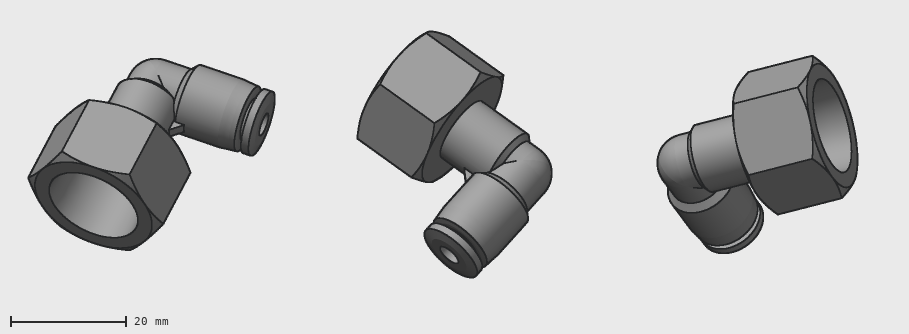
import cadquery as cq
import math

hex_flats = 22.0
hex_length = 14.0
hex_radius = hex_flats / math.sqrt(3)
chamfer_angle = math.radians(30)

socket_mouth_radius = 8.35
socket_depth = 12.5
socket_taper = 1 / 16
socket_floor_radius = socket_mouth_radius - socket_depth * socket_taper / 2
passage_radius = 2.02

branch_radius = 6.25
overall_length = 33.75
branch_y = overall_length - branch_radius
neck_radius = 5.03
stem_radius = 6.0
stem_chamfer = stem_radius - neck_radius
stem_top = 25.08

overall_width = 33.0
branch_end = overall_width - hex_radius
shoulder_start = 5.05
shoulder_end = shoulder_start + branch_radius - neck_radius
taper_start = 14.3
rim_start = 16.25
rim_end = 17.25
lip_end = 17.45
rim_start_radius = 6.05
rim_end_radius = 5.95
lip_radius = 4.85
collar_neck_radius = 3.85
collar_start = 18.45
collar_radius = 5.87
collar_cone_start = 19.88
collar_face_radius = 3.85

gusset_thickness = 2.02
gusset_foot_y = 19.37


def revolve_about_y(points):
    """Revolve a closed (radius, y) outline about the Y axis."""
    return cq.Workplane("XY").polyline(points).close().revolve(360, (0, 0), (0, 1))


def make_nut():
    """Hexagonal prism with conical chamfers on the corners at both ends."""
    prism = cq.Workplane("XZ").polygon(6, 2 * hex_radius).extrude(-hex_length)
    face_radius = hex_flats / 2
    corner_drop = (hex_radius - face_radius) * math.tan(chamfer_angle)
    envelope = revolve_about_y([
        (0, 0),
        (face_radius, 0),
        (hex_radius, corner_drop),
        (hex_radius, hex_length - corner_drop),
        (face_radius, hex_length),
        (0, hex_length),
    ])
    return prism.intersect(envelope)


def make_domed_rod(radius, length):
    """Rod from the origin down -Y, with a hemisphere on its upper end."""
    dome_middle = (radius * math.cos(math.radians(45)), radius * math.sin(math.radians(45)))
    profile = (
        cq.Workplane("XY")
        .moveTo(0, -length)
        .lineTo(radius, -length)
        .lineTo(radius, 0)
        .threePointArc(dome_middle, (0, radius))
        .close()
    )
    return profile.revolve(360, (0, 0), (0, 1))


def make_elbow(radius, foot_y, outlet_x):
    """Round elbow from foot_y up to the branch axis and out to outlet_x, with a ball corner.

    Two domed rods are trimmed at the 45 degree mitre plane and joined there.
    """
    drop = branch_y - foot_y
    reach = 2 * (drop + outlet_x)
    lower_side = (
        cq.Workplane("XY", origin=(0, 0, -reach / 2))
        .polyline([(-reach, reach), (reach, -reach), (-reach, -reach)])
        .close()
        .extrude(reach)
    )
    riser = make_domed_rod(radius, drop).intersect(lower_side)
    outlet = make_domed_rod(radius, outlet_x).rotate((0, 0, 0), (0, 0, 1), 90).cut(lower_side)
    return riser.union(outlet).translate((0, branch_y, 0))


def make_stem():
    """Stem with a chamfered top where it meets the narrower elbow."""
    return revolve_about_y([
        (0, hex_length),
        (stem_radius, hex_length),
        (stem_radius, stem_top - stem_chamfer),
        (neck_radius, stem_top),
        (0, stem_top),
    ])


def make_branch():
    """Branch body, undercut and release collar as one turned shape about X."""
    profile = (
        cq.Workplane("XY")
        .moveTo(shoulder_start, 0)
        .lineTo(shoulder_start, neck_radius)
        .lineTo(shoulder_end, branch_radius)
        .lineTo(taper_start, branch_radius)
        .lineTo(rim_start, rim_start_radius)
        .lineTo(rim_end, rim_end_radius)
        .lineTo(lip_end, lip_radius)
        .lineTo(lip_end, collar_neck_radius)
        .lineTo(collar_start, collar_neck_radius)
        .lineTo(collar_start, collar_radius)
        .lineTo(collar_cone_start, collar_radius)
        .lineTo(branch_end, collar_face_radius)
        .lineTo(branch_end, 0)
        .close()
    )
    return profile.revolve(360, (0, 0), (1, 0)).translate((0, branch_y, 0))


def make_gusset():
    """Triangular 45 degree web in the corner between stem and branch."""
    reach = branch_y - gusset_foot_y
    return (
        cq.Workplane("XY", origin=(0, 0, -gusset_thickness / 2))
        .moveTo(passage_radius, branch_y)
        .lineTo(passage_radius, gusset_foot_y - (stem_radius - passage_radius))
        .lineTo(stem_radius + reach, branch_y)
        .close()
        .extrude(gusset_thickness)
    )


def make_flow_path():
    """Tapered socket, passage up the stem, rounded turn and outlet through the branch."""
    socket = revolve_about_y([
        (0, 0),
        (socket_mouth_radius, 0),
        (socket_floor_radius, socket_depth),
        (0, socket_depth),
    ])
    return socket.union(make_elbow(passage_radius, socket_depth, branch_end))


body = make_nut().union(make_stem()).union(make_branch()).union(make_gusset())
body = body.union(make_elbow(neck_radius, hex_length, shoulder_start))
result = body.cut(make_flow_path())